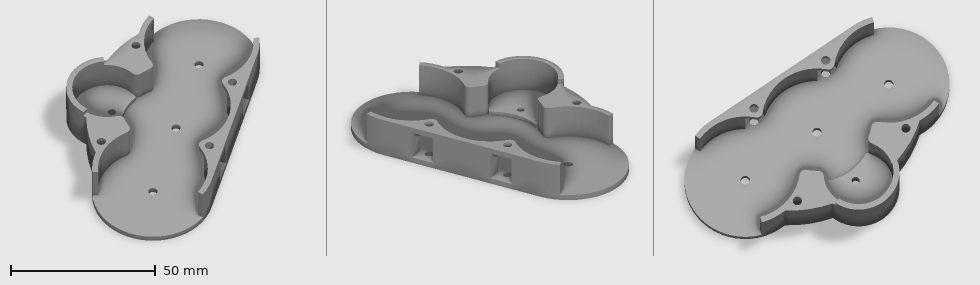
import cadquery as cq
import math

floor_height = 2.1
small_floor_height = 3.6
wall_height = 14.0
rim_height = 16.0

length = 103.0
end_radius = 21.0
pocket_radius = 19.0
pocket_pitch = length / 2 - end_radius
pocket_centers = [(0, y) for y in (-pocket_pitch, 0, pocket_pitch)]

small_pocket_radius = 12.0
small_outer_radius = 14.1
small_center_x = -24.6

flank_end_y = 28.6
flank_start_y = 13.6
flank_bulge = 0.8

opening_angle = math.radians(20)
cusp_fillet = 2.1

window_width = 8.1
window_top = 11.9
window_inner_x = 11.1
seam_y = pocket_pitch / 2

hole_diameter = 3.2
small_hole_diameter = 2.8
small_hole_x = -22.9
flank_hole_x = -20.5
flank_hole_y = 23.1
wall_hole_x = 16.1


def cylinder(radius, bottom, top, center):
    return cq.Workplane("XY").workplane(offset=bottom).center(*center).circle(radius).extrude(top - bottom)


def outer_body(height):
    """Solid outline: round ends, straight +X side, round lobe and two curved flanks."""
    body = cylinder(small_outer_radius, 0, height, (small_center_x, 0))
    for center in pocket_centers:
        body = body.union(cylinder(end_radius, 0, height, center))
    straight_side = (
        cq.Workplane("XY")
        .center(end_radius / 2, 0)
        .rect(end_radius, 2 * pocket_pitch)
        .extrude(height)
    )
    body = body.union(straight_side)

    start_x = small_center_x - math.sqrt(small_outer_radius**2 - flank_start_y**2)
    end_x = -math.sqrt(end_radius**2 - (pocket_pitch - flank_end_y)**2)
    run_x = end_x - start_x
    run_y = flank_end_y - flank_start_y
    chord = math.hypot(run_x, run_y)
    mid_x = start_x + run_x / 2 - flank_bulge * run_y / chord
    mid_y = flank_start_y + run_y / 2 + flank_bulge * run_x / chord
    flanks = (
        cq.Workplane("XY")
        .moveTo(start_x, flank_start_y)
        .threePointArc((mid_x, mid_y), (end_x, flank_end_y))
        .lineTo(0, flank_end_y)
        .lineTo(0, -flank_end_y)
        .lineTo(end_x, -flank_end_y)
        .threePointArc((mid_x, -mid_y), (start_x, -flank_start_y))
        .close()
        .extrude(height)
    )
    return body.union(flanks)


def end_opening(side):
    """Wedge that clears the wall around one end of the row; side is +1 or -1."""
    reach = 2 * end_radius
    rise = reach * math.tan(opening_angle)
    center_y = side * pocket_pitch
    return (
        cq.Workplane("XY")
        .workplane(offset=floor_height)
        .polyline([
            (0, center_y),
            (reach, center_y + side * rise),
            (reach, center_y + side * reach),
            (-reach, center_y + side * reach),
            (-reach, center_y + side * rise),
        ])
        .close()
        .extrude(wall_height)
    )


def round_cusps(body):
    """Round the sharp upright edges where neighbouring pockets meet."""
    seam_x = math.sqrt(pocket_radius**2 - seam_y**2)
    meet_x = (small_center_x**2 + pocket_radius**2 - small_pocket_radius**2) / (2 * small_center_x)
    meet_y = math.sqrt(pocket_radius**2 - meet_x**2)
    cusps = [(seam_x, seam_y), (-seam_x, seam_y), (meet_x, meet_y)]
    box_half = 0.5
    for x, y in cusps:
        for side in (1, -1):
            corner_a = (x - box_half, side * y - box_half, floor_height)
            corner_b = (x + box_half, side * y + box_half, wall_height)
            edge = body.edges("|Z").edges(cq.selectors.BoxSelector(corner_a, corner_b))
            body = edge.fillet(cusp_fillet)
    return body


def raised_floor():
    """Step that lifts the small pocket's floor up to the edge of the middle large pocket."""
    step = cylinder(small_pocket_radius, 0, small_floor_height, (small_center_x, 0))
    return step.cut(cylinder(pocket_radius, 0, small_floor_height, (0, 0)))


def raised_rim():
    """Taller arc of wall around the outside of the small pocket."""
    center = (small_center_x, 0)
    rim = cylinder(small_outer_radius, wall_height, rim_height, center)
    rim = rim.cut(cylinder(small_pocket_radius, wall_height, rim_height, center))
    reach = 2 * small_outer_radius
    shift = reach * math.tan(opening_angle)
    keep = (
        cq.Workplane("XY")
        .workplane(offset=wall_height)
        .polyline([
            (small_center_x, 0),
            (small_center_x - shift, reach),
            (small_center_x - reach, reach),
            (small_center_x - reach, -reach),
            (small_center_x - shift, -reach),
        ])
        .close()
        .extrude(rim_height - wall_height)
    )
    return rim.intersect(keep)


def window(y):
    depth = end_radius - window_inner_x
    return (
        cq.Workplane("XY")
        .workplane(offset=floor_height)
        .center(window_inner_x + depth / 2, y)
        .rect(depth, window_width)
        .extrude(window_top - floor_height)
    )


def through_holes(diameter, centers):
    return cq.Workplane("XY").pushPoints(centers).circle(diameter / 2).extrude(rim_height)


result = outer_body(wall_height)
for pocket_center in pocket_centers:
    result = result.cut(cylinder(pocket_radius, floor_height, wall_height, pocket_center))
result = result.cut(cylinder(small_pocket_radius, floor_height, wall_height, (small_center_x, 0)))
for end in (1, -1):
    result = result.cut(end_opening(end))
result = round_cusps(result)
result = result.union(raised_floor())
result = result.union(raised_rim())
for window_y in (seam_y, -seam_y):
    result = result.cut(window(window_y))

side_hole_centers = []
for end in (1, -1):
    side_hole_centers.append((flank_hole_x, end * flank_hole_y))
    side_hole_centers.append((wall_hole_x, end * seam_y))
result = result.cut(through_holes(hole_diameter, pocket_centers + side_hole_centers))
result = result.cut(through_holes(small_hole_diameter, [(small_hole_x, 0)]))